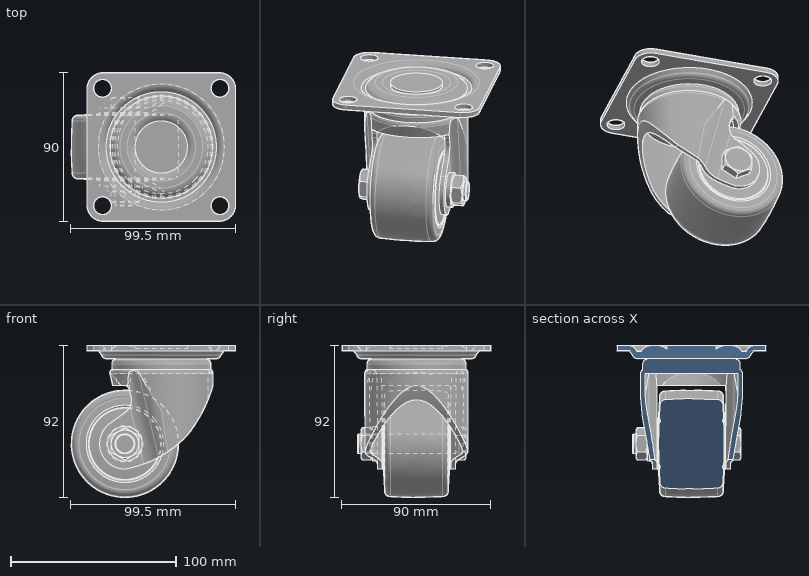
import cadquery as cq
import math


plate_side = 90.0
plate_corner_radius = 10.0
plate_thickness = 3.25
bolt_hole_spacing = 71.0
bolt_hole_diameter = 10.6
race_outer_radius = 38.1
race_floor_outer_radius = 33.4
race_floor_inner_radius = 30.9
race_depth = 3.5
crown_outer_radius = 25.0
crown_inner_radius = 20.7
pivot_radius = 15.8
pivot_recess_depth = 2.0
dish_bottom_z = -8.15
dish_knee_radius = 36.2
dish_knee_z = -5.8
dish_rounding_middle = (35.2, -7.3)

collar_radius = 30.0
collar_fillet = 3.1

fork_radius = 31.3
fork_top_z = -14.0
sheet = 3.0
cap_fillet = 3.0
leg_outer_y = 23.7
leg_inner_y = leg_outer_y - sheet
lip_bottom_z = -24.3
lip_radius = 41.0
lip_front_x = -31.8
lip_slope = math.tan(math.radians(13.0))
bend_slope = math.tan(math.radians(13.5))
bend_start_x = -24.4
bend_angle = math.radians(45)
bend_hollow_radius = 14.0
bend_ridge_radius = (fork_radius - leg_outer_y) / (1 - math.cos(bend_angle)) - bend_hollow_radius
eye_radius = 15.3
eye_tangent_angle = math.radians(128)
back_top_z = -24.4
back_upper_middle = (25.5, -39.1)
back_knee = (15.7, -54.4)
back_lower_middle = (0.0, -66.75)
neck_start = (-22.4, -40.9)
neck_middle = (-18.5, -36.0)
neck_top = (-18.4, -30.2)
corner_start = (-19.3, -27.2)
corner_middle = (-20.1, -25.2)
corner_end = (-21.6, lip_bottom_z)
fork_bottom_z = -85.0
reach = 60.0

wheel_radius = 32.5
axle_x = -22.0
axle_z = -59.5
tread_edge_radius = 32.0
tread_edge_y = 15.6
tyre_shoulder_radius = 27.7
tyre_shoulder_y = 19.2
shoulder_middle = (30.8, 18.45)
tyre_inner_radius = 23.4
tyre_inner_y = 19.6
rim_groove_radius = 22.0
rim_groove_depth = 0.7
hub_face_outer_radius = 21.6
hub_face_radius = 13.5
hub_face_y = 20.3
hub_boss_radius = 11.0

axle_radius = 6.0
hex_flats = 17.0
hex_chamfer_face = 8.3
head_height = 6.3
washer_radius = 10.5
washer_thickness = 3.0
nut_height = 6.9
bolt_end_y = -35.6
bolt_end_chamfer = 0.5


def along_y(radius, y_start, y_end):
    """Cylinder about the wheel axle from y_start to y_end."""
    plane = cq.Workplane("XZ", origin=(axle_x, y_start, axle_z))
    return plane.circle(radius).extrude(y_start - y_end)


def slanted_prism(outline, slope, z_top, z_bottom):
    """Closed plan outline drawn at z_top, swept down and towards +X by the slope."""
    height = z_top - z_bottom
    face = cq.Face.makeFromWires(outline.val())
    return cq.Workplane(cq.Solid.extrudeLinear(face, cq.Vector(height * slope, 0, -height)))


def rolled_edge(start, end, depth):
    """Middle and end of a profile arc that leaves the flat top at radius start and drops to end."""
    run = end - start
    bend = (run**2 + depth**2) / (2 * depth)
    half_angle = math.atan2(depth, abs(run))
    middle = start + math.copysign(bend * math.sin(half_angle), run)
    return (middle, -bend * (1 - math.cos(half_angle))), (end, -depth)


def make_plate():
    slab = (
        cq.Workplane("XY")
        .rect(plate_side, plate_side)
        .extrude(-plate_thickness)
        .edges("|Z")
        .fillet(plate_corner_radius)
        .faces(">Z")
        .workplane()
        .rect(bolt_hole_spacing, bolt_hole_spacing, forConstruction=True)
        .vertices()
        .hole(bolt_hole_diameter)
    )
    dish = (
        cq.Workplane("XZ")
        .lineTo(race_outer_radius, 0)
        .lineTo(race_outer_radius, -plate_thickness)
        .lineTo(dish_knee_radius, dish_knee_z)
        .threePointArc(dish_rounding_middle, (race_floor_outer_radius, dish_bottom_z))
        .lineTo(0, dish_bottom_z)
        .close()
        .revolve(360, (0, 0), (0, 1))
    )
    crown_middle, crown_foot = rolled_edge(crown_outer_radius, race_floor_inner_radius, race_depth)
    race = (
        cq.Workplane("XZ")
        .moveTo(race_outer_radius, 0)
        .threePointArc(*rolled_edge(race_outer_radius, race_floor_outer_radius, race_depth))
        .lineTo(*crown_foot)
        .threePointArc(crown_middle, (crown_outer_radius, 0))
        .close()
        .revolve(360, (0, 0), (0, 1))
    )
    recess = (
        cq.Workplane("XZ")
        .moveTo(crown_inner_radius, 0)
        .threePointArc(*rolled_edge(crown_inner_radius, pivot_radius, pivot_recess_depth))
        .lineTo(pivot_radius, 0)
        .close()
        .revolve(360, (0, 0), (0, 1))
    )
    return slab.union(dish).cut(race).cut(recess)


def make_bend_region(inset):
    """Slanted block as wide as the legs at -X, bending outwards to the skirt width at +X."""
    leg_y = leg_outer_y - inset
    skirt_y = fork_radius - inset
    hollow_radius = bend_hollow_radius + inset
    ridge_radius = bend_ridge_radius - inset
    x_skirt = bend_start_x + (hollow_radius + ridge_radius) * math.sin(bend_angle)
    half_sin = math.sin(bend_angle / 2)
    half_rise = 1 - math.cos(bend_angle / 2)
    hollow_middle = (bend_start_x + hollow_radius * half_sin, leg_y + hollow_radius * half_rise)
    hollow_end = (
        bend_start_x + hollow_radius * math.sin(bend_angle),
        leg_y + hollow_radius * (1 - math.cos(bend_angle)),
    )
    ridge_middle = (x_skirt - ridge_radius * half_sin, skirt_y - ridge_radius * half_rise)
    outline = (
        cq.Workplane("XY", origin=(0, 0, fork_top_z))
        .moveTo(-reach, 0)
        .lineTo(-reach, leg_y)
        .lineTo(bend_start_x, leg_y)
        .threePointArc(hollow_middle, hollow_end)
        .threePointArc(ridge_middle, (x_skirt, skirt_y))
        .lineTo(reach, skirt_y)
        .lineTo(reach, 0)
        .close()
    )
    half = slanted_prism(outline, bend_slope, fork_top_z, fork_bottom_z)
    return half.union(half.mirror("XZ"))


def make_lip_trim(inset):
    """Material in front of the leaning round face of the fork lip."""
    top = cq.Workplane("XY", origin=(0, 0, fork_top_z))
    block = top.center(-reach / 2, 0).rect(reach, 2 * reach).extrude(lip_bottom_z - fork_top_z)
    centre_x = lip_front_x + lip_radius
    outline = cq.Workplane("XY", origin=(centre_x, 0, fork_top_z)).circle(lip_radius - inset)
    return block.cut(slanted_prism(outline, lip_slope, fork_top_z, lip_bottom_z))


def make_fork_volume(inset):
    """Filled shape of the fork, its upright faces moved inwards by the inset."""
    top = cq.Workplane("XY", origin=(0, 0, fork_top_z))
    drum = top.circle(fork_radius - inset).extrude(fork_bottom_z - fork_top_z)
    drum = drum.faces(">Z").edges().fillet(cap_fillet)
    below_lip = cq.Workplane("XY", origin=(0, 0, lip_bottom_z))
    legs = below_lip.center(-reach / 2, 0).rect(reach, 2 * (leg_outer_y - inset))
    legs = legs.extrude(fork_bottom_z - lip_bottom_z)
    return drum.union(legs).intersect(make_bend_region(inset))


def make_fork_side_shape():
    """Side outline of the fork: head on top, back curve, round axle eye and neck."""
    eye_top = (
        axle_x + eye_radius * math.cos(eye_tangent_angle),
        axle_z + eye_radius * math.sin(eye_tangent_angle),
    )
    return (
        cq.Workplane("XZ", origin=(0, reach, 0))
        .moveTo(-reach, fork_top_z)
        .lineTo(fork_radius, fork_top_z)
        .lineTo(fork_radius, back_top_z)
        .threePointArc(back_upper_middle, back_knee)
        .threePointArc(back_lower_middle, (axle_x, axle_z - eye_radius))
        .threePointArc((axle_x - eye_radius, axle_z), eye_top)
        .lineTo(*neck_start)
        .threePointArc(neck_middle, neck_top)
        .lineTo(*corner_start)
        .threePointArc(corner_middle, corner_end)
        .lineTo(-reach, lip_bottom_z)
        .close()
        .extrude(2 * reach)
    )


def make_collar():
    collar = cq.Workplane("XY", origin=(0, 0, dish_bottom_z)).circle(collar_radius)
    collar = collar.extrude(fork_top_z - cap_fillet - dish_bottom_z)
    return collar.faces(">Z").edges().fillet(collar_fillet)


def make_fork():
    outside = make_fork_volume(0).intersect(make_fork_side_shape()).cut(make_lip_trim(0))
    below_cap = cq.Workplane("XY", origin=(0, 0, fork_top_z - sheet)).rect(2 * reach, 2 * reach)
    below_cap = below_cap.extrude(fork_bottom_z - fork_top_z)
    cavity = make_fork_volume(sheet).intersect(below_cap).cut(make_lip_trim(sheet))
    axle_hole = along_y(axle_radius, -reach, reach)
    return outside.cut(cavity).union(make_collar()).cut(axle_hole)


def make_wheel():
    half = [
        (tyre_shoulder_radius, tyre_shoulder_y),
        (tyre_inner_radius, tyre_inner_y),
        (rim_groove_radius, tyre_inner_y - rim_groove_depth),
        (hub_face_outer_radius, tyre_inner_y),
        (hub_face_radius, hub_face_y),
        (hub_boss_radius, hub_face_y),
        (hub_boss_radius, leg_inner_y),
        (axle_radius, leg_inner_y),
    ]
    profile = cq.Workplane("XY").moveTo(tread_edge_radius, -tread_edge_y)
    profile = profile.threePointArc((wheel_radius, 0), (tread_edge_radius, tread_edge_y))
    profile = profile.threePointArc(shoulder_middle, half[0])
    for radius, y in half[1:]:
        profile = profile.lineTo(radius, y)
    for radius, y in reversed(half):
        profile = profile.lineTo(radius, -y)
    mirrored_middle = (shoulder_middle[0], -shoulder_middle[1])
    profile = profile.threePointArc(mirrored_middle, (tread_edge_radius, -tread_edge_y)).close()
    return profile.revolve(360, (0, 0), (0, 1)).translate((axle_x, 0, axle_z))


def make_hexagon(y_start, y_end, chamfered_ends):
    """Hexagonal head with corners up and down, its listed ends turned off by a 30 degree cone."""
    circumscribed = hex_flats / math.cos(math.pi / 6)
    plane = cq.Workplane("XZ", origin=(axle_x, y_start, axle_z)).transformed(rotate=(0, 0, 90))
    blank = plane.polygon(6, circumscribed).extrude(y_start - y_end)
    turned = along_y(circumscribed / 2, y_start, y_end)
    run = circumscribed / 2 - hex_chamfer_face
    for end in chamfered_ends:
        turned = turned.faces(end).chamfer(run * math.tan(math.pi / 6), run)
    return blank.intersect(turned)


def make_bolt():
    shank = along_y(axle_radius, bolt_end_y, leg_outer_y).faces("<Y").chamfer(bolt_end_chamfer)
    return shank.union(make_hexagon(leg_outer_y, leg_outer_y + head_height, [">Y"]))


def make_nut():
    washer_y = -leg_outer_y - washer_thickness
    washer = along_y(washer_radius, -leg_outer_y, washer_y)
    nut = washer.union(make_hexagon(washer_y, washer_y - nut_height, ["<Y", ">Y"]))
    return nut.cut(along_y(axle_radius, -reach, reach))


plate = make_plate()
fork = make_fork()
wheel = make_wheel()
bolt = make_bolt()
nut = make_nut()

result = cq.Compound.makeCompound([plate.val(), fork.val(), wheel.val(), bolt.val(), nut.val()])